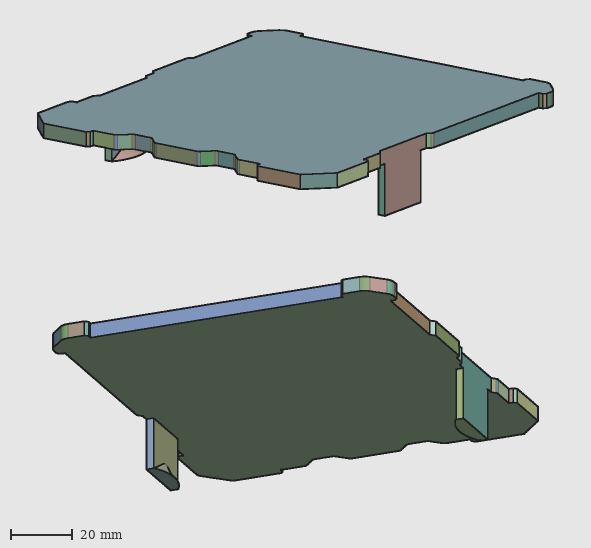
import cadquery as cq

width = 120.0
length = 135.0
plate_thickness = 5.0
overall_height = 22.5
half_width = width / 2
half_length = length / 2

rear_corner_chamfer = 6.8
rear_corner_radius = 4.5
front_corner_chamfer = 8.6

edge_setback = 2.5
pad_chamfer = 1.01
rear_pad_inner_x = 44.5
front_pad_inner_x = 33.3
rear_pad_front_y = 55.8
front_pad_rear_y = -40.9

side_step = 1.5

recess_rear_y = -2.8
recess_front_y = -31.5

tab_rear_y = 23.8
tab_front_y = 1.6

notch_center_x = 16.6
notch_depth = 4.2
notch_floor_width = 7.3

step_radius = 1.5

leg_thickness = 2.5
leg_width = 20.0
leg_center_y = -17.1
leg_length = overall_height - plate_thickness

barb_reach = 3.1
barb_height = 5.1
barb_hollow = 0.4
barb_radius = 18.2

side_x = half_width - edge_setback
recess_floor_x = side_x - side_step
leg_outer_x = recess_floor_x
rear_edge_y = half_length - edge_setback
front_edge_y = -half_length + edge_setback
notch_floor_half = notch_floor_width / 2
notch_mouth_half = notch_floor_half + notch_depth

rear_corner_points = [
    (half_width - rear_corner_chamfer, half_length),
    (half_width, half_length - rear_corner_chamfer),
]
recess_mouth_points = [(side_x, recess_rear_y), (side_x, recess_front_y)]
notch_points = [
    (notch_center_x + notch_mouth_half, front_edge_y),
    (notch_center_x + notch_floor_half, front_edge_y + notch_depth),
    (notch_center_x - notch_floor_half, front_edge_y + notch_depth),
    (notch_center_x - notch_mouth_half, front_edge_y),
]


def mirrored(points):
    """Points reflected across the YZ plane, in reverse order."""
    return [(-x, y) for x, y in reversed(points)]


def round_corners(body, points, radius):
    """Fillet the vertical edges standing on the given points and on their mirror images."""
    for x, y in points + mirrored(points):
        corner_edge = cq.selectors.NearestToPointSelector((x, y, plate_thickness / 2))
        body = body.edges(corner_edge).fillet(radius)
    return body


def make_plate():
    right_half = [
        (rear_pad_inner_x, rear_edge_y),
        (rear_pad_inner_x, half_length - pad_chamfer),
        (rear_pad_inner_x + pad_chamfer, half_length),
        *rear_corner_points,
        (half_width, rear_pad_front_y + pad_chamfer),
        (half_width - pad_chamfer, rear_pad_front_y),
        (side_x, rear_pad_front_y),
        (side_x, recess_rear_y),
        (recess_floor_x, recess_rear_y - side_step),
        (recess_floor_x, recess_front_y + side_step),
        (side_x, recess_front_y),
        (side_x, front_pad_rear_y),
        (half_width - pad_chamfer, front_pad_rear_y),
        (half_width, front_pad_rear_y - pad_chamfer),
        (half_width, -half_length + front_corner_chamfer),
        (half_width - front_corner_chamfer, -half_length),
        (front_pad_inner_x + pad_chamfer, -half_length),
        (front_pad_inner_x, -half_length + pad_chamfer),
        (front_pad_inner_x, front_edge_y),
        *notch_points,
    ]
    outline = right_half + mirrored(right_half)
    plate = cq.Workplane("XY").polyline(outline).close().extrude(plate_thickness)
    plate = round_corners(plate, rear_corner_points, rear_corner_radius)
    return round_corners(plate, recess_mouth_points + notch_points, step_radius)


def make_side_tab():
    outline = [
        (-side_x, tab_rear_y),
        (-side_x - side_step, tab_rear_y - side_step),
        (-side_x - side_step, tab_front_y + side_step),
        (-side_x, tab_front_y),
    ]
    return cq.Workplane("XY").polyline(outline).close().extrude(plate_thickness)


def make_right_leg():
    inner_x = leg_outer_x - leg_thickness
    leg = (
        cq.Workplane("XY")
        .center(leg_outer_x - leg_thickness / 2, leg_center_y)
        .rect(leg_thickness, leg_width)
        .extrude(-leg_length)
    )

    neck_radius = barb_radius - barb_reach
    axis_x = inner_x + neck_radius
    flare = (
        cq.Workplane("XZ")
        .lineTo(barb_radius, 0)
        .threePointArc(
            (neck_radius + barb_reach / 2 - barb_hollow, barb_height / 2 - barb_hollow),
            (neck_radius, barb_height),
        )
        .lineTo(0, barb_height)
        .close()
        .revolve(360, (0, 0), (0, 1))
        .translate((axis_x, leg_center_y, -leg_length))
    )
    trim_length = barb_reach + leg_thickness
    trim = (
        cq.Workplane("XY", origin=(0, 0, -leg_length))
        .center(leg_outer_x - trim_length / 2, leg_center_y)
        .rect(trim_length, leg_width)
        .extrude(barb_height)
    )
    return leg.union(flare.intersect(trim))


right_leg = make_right_leg()
left_leg = right_leg.mirror("YZ")
result = make_plate().union(make_side_tab()).union(right_leg).union(left_leg).clean()